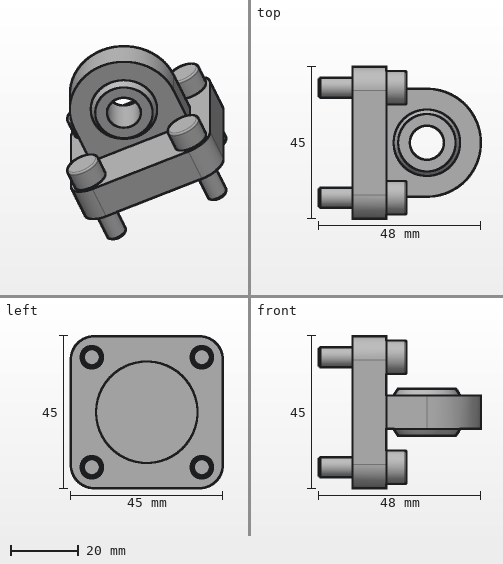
import cadquery as cq

plate_size = 45.0
plate_thickness = 10.0
plate_corner_radius = 7.0
recess_diameter = 30.0
recess_depth = 7.0

screw_pitch = 32.5
screw_diameter = 6.0
clearance_diameter = 6.6
screw_protrusion = 10.0
tip_chamfer = 0.61
head_diameter = 10.0
head_height = 6.0
head_edge_radius = 0.6

eye_distance = 22.0
lug_radius = 16.0
lug_thickness = 9.9

ball_diameter = 22.0
ball_width = 14.0
bore_diameter = 10.0

half_pitch = screw_pitch / 2
screw_positions = [(y, z) for y in (-half_pitch, half_pitch) for z in (-half_pitch, half_pitch)]


def make_plate():
    """Square plate with rounded corners, a round recess and screw clearance holes."""
    plate = (
        cq.Workplane("YZ")
        .rect(plate_size, plate_size)
        .extrude(plate_thickness)
        .edges("|X")
        .fillet(plate_corner_radius)
    )
    recess = cq.Workplane("YZ").circle(recess_diameter / 2).extrude(recess_depth)
    holes = (
        cq.Workplane("YZ")
        .pushPoints(screw_positions)
        .circle(clearance_diameter / 2)
        .extrude(plate_thickness)
    )
    return plate.cut(recess).cut(holes)


def make_lug():
    """Tongue running from the plate to a half-round end about the eye axis."""
    return (
        cq.Workplane("XY")
        .moveTo(plate_thickness, -lug_radius)
        .lineTo(eye_distance, -lug_radius)
        .threePointArc((eye_distance + lug_radius, 0), (eye_distance, lug_radius))
        .lineTo(plate_thickness, lug_radius)
        .close()
        .extrude(lug_thickness / 2, both=True)
    )


def make_ball():
    """Sphere cut flat at top and bottom to the bearing width."""
    width_limit = cq.Workplane("XY").box(ball_diameter, ball_diameter, ball_width)
    ball = cq.Workplane("XY").sphere(ball_diameter / 2).intersect(width_limit)
    return ball.translate((eye_distance, 0, 0))


def make_bore():
    """Cylinder along the eye axis that opens the bearing right through."""
    return (
        cq.Workplane("XY")
        .center(eye_distance, 0)
        .circle(bore_diameter / 2)
        .extrude(ball_width / 2, both=True)
    )


def make_screw(y, z):
    """Cap screw along X, with its head seated on the +X face of the plate."""
    shank = (
        cq.Workplane("YZ", origin=(-screw_protrusion, y, z))
        .circle(screw_diameter / 2)
        .extrude(screw_protrusion + plate_thickness)
        .faces("<X")
        .chamfer(tip_chamfer)
    )
    head = (
        cq.Workplane("YZ", origin=(plate_thickness, y, z))
        .circle(head_diameter / 2)
        .extrude(head_height)
        .faces(">X")
        .edges()
        .fillet(head_edge_radius)
    )
    return shank.union(head)


result = make_plate().union(make_lug()).union(make_ball()).cut(make_bore())
for screw_y, screw_z in screw_positions:
    result = result.union(make_screw(screw_y, screw_z))